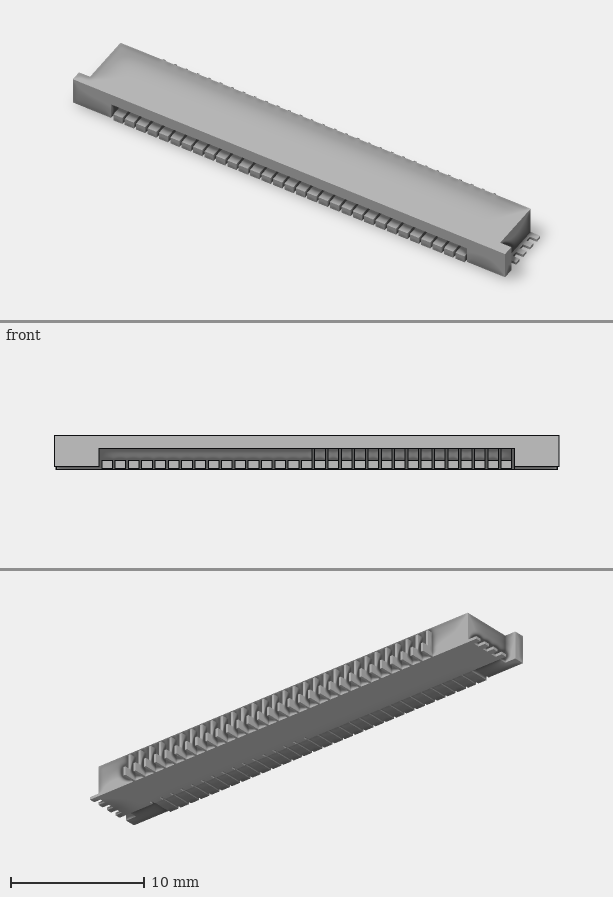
import cadquery as cq

LENGTH = 37.92
DEPTH = 6.52
HEIGHT = 2.58

CONTACT_COUNT = 30
CONTACT_ROW = 29.0
PITCH = CONTACT_ROW / (CONTACT_COUNT - 1)
CONTACT_WIDTH = 0.2

HOUSING_LENGTH = 36.0
HOUSING_DEPTH = 5.35
FLANGE_DEPTH = 0.9
STANDOFF = 0.23

PLATE_OVERHANG = 0.23
TAB_OVERHANG = 0.85
TAB_COUNT = 4
TAB_WIDTH = 0.5
PLATE_DEPTH = (TAB_COUNT - 1) * PITCH + TAB_WIDTH
PLATE_FRONT = HOUSING_DEPTH - PLATE_DEPTH

TOOTH_COUNT = CONTACT_COUNT + 1
TOOTH_GAP = CONTACT_WIDTH
TOOTH_WIDTH = PITCH - TOOTH_GAP
TOOTH_TOP = 0.7
TOOTH_BOTTOM = 0.08
SLOT_LENGTH = TOOTH_COUNT * PITCH + TOOTH_GAP
SLOT_DEPTH = PLATE_FRONT
SLOT_TOP = 1.6
GROOVE_DEPTH = 0.38

TAIL_TOP = 2.05
FOOT_TOP = 0.72
STEM_DEPTH = (DEPTH - HOUSING_DEPTH) / 2


def block(x_range, y_range, z_range):
    """Box spanning the given (low, high) range along each axis."""
    lows, highs = zip(x_range, y_range, z_range)
    sizes = [high - low for low, high in zip(lows, highs)]
    return cq.Workplane("XY").box(*sizes, centered=False).translate(lows)


def centred(width, middle=0.0):
    """Range of the given width about a middle position."""
    return (middle - width / 2, middle + width / 2)


def row_positions(count):
    """X positions one contact pitch apart, centred on zero."""
    return [(i - (count - 1) / 2) * PITCH for i in range(count)]


def make_housing():
    """Block with a flange along its front and the cable slot cut into it."""
    walls = (STANDOFF, HEIGHT)
    body = block(centred(HOUSING_LENGTH), (0, HOUSING_DEPTH), walls)
    flange = block(centred(LENGTH), (0, FLANGE_DEPTH), walls)
    slot = block(centred(SLOT_LENGTH), (0, SLOT_DEPTH), (0, SLOT_TOP))
    return body.union(flange).cut(slot)


def make_base_plate():
    """Plate under the rear of the housing, with a comb of solder tabs at each end."""
    thickness = (0, STANDOFF)
    plate_length = HOUSING_LENGTH + 2 * PLATE_OVERHANG
    tab_span = HOUSING_LENGTH + 2 * TAB_OVERHANG
    plate = block(centred(plate_length), (PLATE_FRONT, HOUSING_DEPTH), thickness)
    for i in range(TAB_COUNT):
        y = PLATE_FRONT + i * PITCH
        plate = plate.union(block(centred(tab_span), (y, y + TAB_WIDTH), thickness))
    return plate


def cut_grooves(part):
    """Grooves in the back wall of the slot, in line with the tooth gaps of its +X half."""
    depth = (SLOT_DEPTH, SLOT_DEPTH + GROOVE_DEPTH)
    for x in row_positions(TOOTH_COUNT + 1):
        if x > 0:
            part = part.cut(block(centred(TOOTH_GAP, x), depth, (0, SLOT_TOP)))
    return part


def add_teeth(part):
    """Teeth reaching from the back wall of the slot to the mating face."""
    for x in row_positions(TOOTH_COUNT):
        part = part.union(block(centred(TOOTH_WIDTH, x), (0, SLOT_DEPTH), (TOOTH_BOTTOM, TOOTH_TOP)))
    return part


def add_tails(part):
    """L-shaped contact tails, each a stem on the back wall ending in a solder foot."""
    stem_back = HOUSING_DEPTH + STEM_DEPTH
    for x in row_positions(CONTACT_COUNT):
        stem = block(centred(CONTACT_WIDTH, x), (HOUSING_DEPTH, stem_back), (0, TAIL_TOP))
        foot = block(centred(CONTACT_WIDTH, x), (HOUSING_DEPTH, DEPTH), (0, FOOT_TOP))
        part = part.union(stem).union(foot)
    return part


connector = make_housing().union(make_base_plate())
connector = cut_grooves(connector)
connector = add_teeth(connector)
result = add_tails(connector)